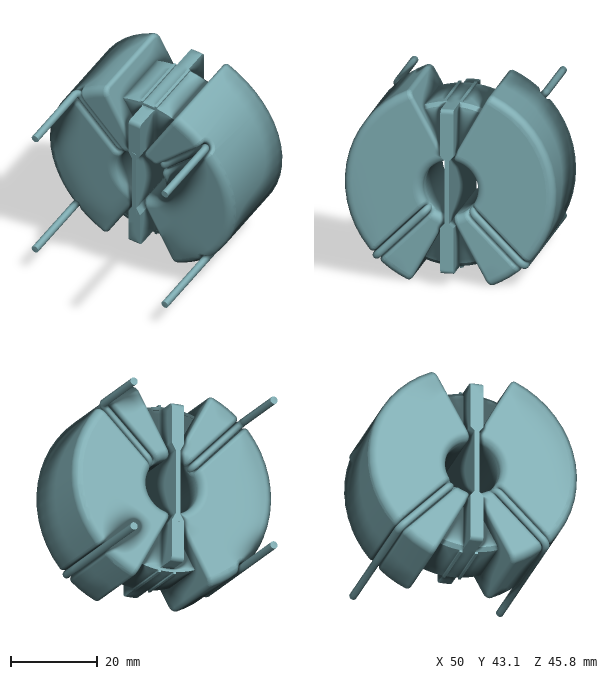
import cadquery as cq
import math

coil_radius = 25.0
bore_radius = 6.55
coil_width = 23.75
coil_rim_fillet = 2.0
coil_side_fillet = 1.0
coil_half_angle = 61.2
coil_apex_offset = 3.3

core_inner_radius = 9.25
core_radius = 19.1
case_radius = 19.85
case_front = -7.7
core_recess = 0.1
core_back = 7.9
case_chamfer = 0.9

plate_thickness = 3.1
plate_depth = 28.0
plate_end_fillet = 1.0
plate_foot_fillet = 0.65
web_thickness = 1.1
web_proud = 0.1
web_half_height = 9.55
taper_inner = 7.6
taper_outer_back = 8.65
taper_outer_front = 9.4
rib_width = 0.65
rib_radius = 20.3

wire_radius = 0.9
groove_radius = 1.1
groove_fillet = 1.0
lead_offset = 17.55
lead_tip = -29.05
wire_angle = 45.0
bend_radius = 1.5
front_wire_depth = 1.55
back_wire_depth = 0.8
bore_wire_gap = 1.0
selection_margin = 0.005

half_coil = coil_width / 2
core_front = case_front + core_recess
lead_radius = lead_offset * math.sqrt(2)
bore_wire_radius = bore_radius + bore_wire_gap
arc_dip = bend_radius * (1 - math.sqrt(0.5))
front_wire_y = front_wire_depth - half_coil
back_wire_y = half_coil - back_wire_depth


def tube(inner, outer, back, front):
    """Plain tube about the Y axis."""
    return cq.Workplane("XZ", origin=(0, back, 0)).circle(outer).circle(inner).extrude(back - front)


def turned_to(solid, angle):
    """Swing a solid about Y so that its +X side rises by the angle."""
    return solid.rotate((0, 0, 0), (0, 1, 0), -angle)


def coil_sector():
    """Plain sector of the rounded ring, on the +X side."""
    ring = tube(bore_radius, coil_radius, half_coil, -half_coil)
    ring = ring.edges().fillet(coil_rim_fillet)
    reach = 2 * coil_radius
    rise = reach * math.tan(math.radians(coil_half_angle))
    apex = (-coil_apex_offset, 0)
    far_x = reach - coil_apex_offset
    wedge = (
        cq.Workplane("XZ")
        .polyline([apex, (far_x, rise), (far_x, -rise)])
        .close()
        .extrude(half_coil, both=True)
    )
    sector = ring.intersect(wedge)
    sides = sector.faces("%PLANE").faces("not(|Y)")
    return sector.newObject(sides.edges().vals()).fillet(coil_side_fillet)


def to_lead(path, face_y, front_end):
    """Carry a path outward along a coil face, round a bend and forward as a lead."""
    turn = math.copysign(bend_radius, front_end - face_y)
    turn_dip = math.copysign(arc_dip, turn)
    return (
        path.lineTo(lead_radius - bend_radius, face_y)
        .threePointArc((lead_radius - arc_dip, face_y + turn_dip), (lead_radius, face_y + turn))
        .lineTo(lead_radius, front_end)
        .wire()
    )


def wire_run(face_y, inward):
    """Wire rising out of the bore wall, across a coil face and off as a lead.

    inward is the Y direction from the face into the coil, +1 or -1.
    """
    leg_end = face_y + inward * 2 * bend_radius
    bend_middle = (bore_wire_radius + arc_dip, face_y + inward * arc_dip)
    path = (
        cq.Workplane("XY")
        .moveTo(bore_wire_radius, leg_end)
        .lineTo(bore_wire_radius, face_y + inward * bend_radius)
        .threePointArc(bend_middle, (bore_wire_radius + bend_radius, face_y))
    )
    path = to_lead(path, face_y, lead_tip)
    return cq.Workplane("XZ", origin=(bore_wire_radius, leg_end, 0)).circle(wire_radius).sweep(path)


def round_groove_mouth(coil):
    """Fillet the edges where a groove along +X breaks the coil surface."""
    half_strip = groove_radius + selection_margin
    strip = cq.selectors.BoxSelector(
        (0, -coil_width, -half_strip), (2 * coil_radius, coil_width, half_strip), boundingbox=True
    )
    return coil.edges(strip).fillet(groove_fillet)


def cut_front_groove(coil):
    """Straight round-bottomed groove across the front face, from bore to rim."""
    channel = (
        cq.Workplane("YZ")
        .moveTo(-coil_width, groove_radius)
        .lineTo(front_wire_y, groove_radius)
        .threePointArc((front_wire_y + groove_radius, 0), (front_wire_y, -groove_radius))
        .lineTo(-coil_width, -groove_radius)
        .close()
        .extrude(2 * coil_radius)
    )
    return round_groove_mouth(coil.cut(channel))


def cut_back_groove(coil):
    """Groove across the back face that turns forward along the rim."""
    bottom_path = to_lead(cq.Workplane("XY").moveTo(0, back_wire_y), back_wire_y, -coil_width)
    bottom = cq.Workplane("YZ", origin=(0, back_wire_y, 0)).circle(groove_radius).sweep(bottom_path)
    opening = (
        cq.Workplane("XY", origin=(0, 0, -groove_radius))
        .moveTo(0, back_wire_y)
        .lineTo(lead_radius - bend_radius, back_wire_y)
        .threePointArc(
            (lead_radius - arc_dip, back_wire_y - arc_dip), (lead_radius, back_wire_y - bend_radius)
        )
        .lineTo(lead_radius, -coil_width)
        .lineTo(2 * coil_radius, -coil_width)
        .lineTo(2 * coil_radius, coil_width)
        .lineTo(0, coil_width)
        .close()
        .extrude(2 * groove_radius)
    )
    return round_groove_mouth(coil.cut(opening).cut(bottom))


def wired_coil():
    """The +X coil with its front wire above and its back wire below."""
    level = turned_to(coil_sector(), -wire_angle)
    level = cut_front_groove(level)
    level = turned_to(level, 2 * wire_angle)
    level = cut_back_groove(level)
    coil = turned_to(level, -wire_angle)
    front_wire = turned_to(wire_run(front_wire_y, 1), wire_angle)
    back_wire = turned_to(wire_run(back_wire_y, -1), -wire_angle)
    return coil.union(front_wire).union(back_wire)


def cased_core():
    """Ring inside the coils: a recessed bare front inside a larger case with a chamfered back."""
    profile = [
        (core_inner_radius, core_front),
        (core_radius, core_front),
        (core_radius, case_front),
        (case_radius, case_front),
        (case_radius, core_back - case_chamfer),
        (case_radius - case_chamfer, core_back),
        (core_inner_radius, core_back),
    ]
    return cq.Workplane("XY").polyline(profile).close().revolve(360, (0, 0, 0), (0, 1, 0))


def plate_part(outer_radius, taper_outer, end_face, end):
    """Divider plate from the case front to one free end, thinned to the web at its middle."""
    length = case_front - end
    disc = cq.Workplane("XZ", origin=(0, case_front, 0)).circle(outer_radius).extrude(length)
    disc = disc.faces(end_face).edges().fillet(plate_end_fillet)
    upper = [
        (web_thickness / 2, taper_inner),
        (plate_thickness / 2, taper_outer),
        (plate_thickness / 2, outer_radius),
    ]
    right = [(x, -z) for x, z in reversed(upper)] + upper
    left = [(-x, z) for x, z in reversed(right)]
    slab = cq.Workplane("XZ", origin=(0, case_front, 0)).polyline(right + left).close().extrude(length)
    return disc.intersect(slab)


def web():
    """Thin panel through the middle of the plate, standing slightly proud at the front."""
    depth = plate_depth + web_proud
    panel = cq.Workplane("XY").box(web_thickness, depth, 2 * web_half_height)
    return panel.translate((0, -web_proud / 2, 0))


def plate_feet():
    """Concave fillets between the plate and the bare core front."""
    side = plate_thickness / 2
    toe = core_front - plate_foot_fillet
    bar = (
        cq.Workplane("XY")
        .moveTo(side, core_front)
        .lineTo(side + plate_foot_fillet, core_front)
        .radiusArc((side, toe), -plate_foot_fillet)
        .close()
        .extrude(core_radius, both=True)
    )
    foot = bar.intersect(tube(core_inner_radius, core_radius, core_front, toe))
    return foot.union(foot.mirror("YZ"))


def case_ribs():
    """Low ribs along the case on both sides of the plate."""
    rib = cq.Workplane("XY").box(rib_width, coil_width, 2 * coil_radius)
    rib = rib.translate(((plate_thickness + rib_width) / 2, 0, 0))
    rib = rib.intersect(tube(core_radius, rib_radius, core_back - case_chamfer, case_front))
    return rib.union(rib.mirror("YZ"))


coil = wired_coil()
result = (
    cased_core()
    .union(plate_part(core_radius, taper_outer_front, "<Y", -plate_depth / 2))
    .union(plate_part(case_radius, taper_outer_back, ">Y", plate_depth / 2))
    .union(web())
    .union(plate_feet())
    .union(case_ribs())
    .union(coil)
    .union(coil.mirror("YZ"))
)